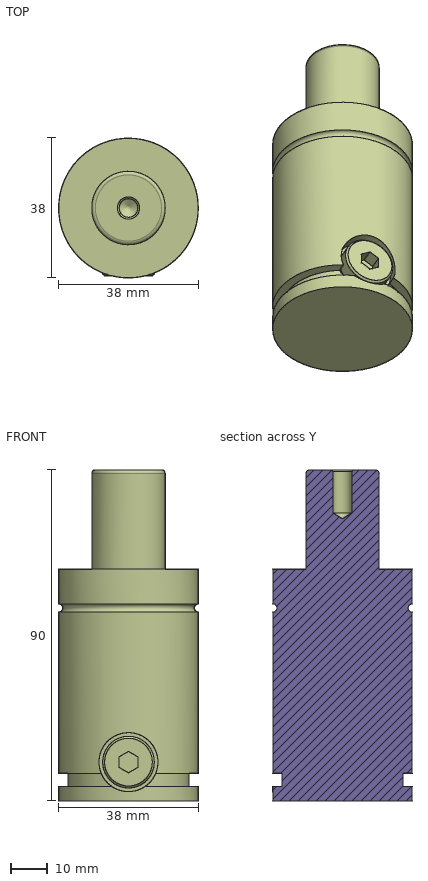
import cadquery as cq
import math

total_height = 90.0
body_diameter = 38.0
body_radius = body_diameter / 2
body_top = 63.0

rod_diameter = 20.0
rod_edge_radius = 1.0

rod_hole_diameter = 5.0
rod_hole_mouth_diameter = 6.0
rod_hole_depth = 11.7
drill_point_angle = 118.0

ring_groove_center_z = 52.5
ring_groove_radius = 1.1

foot_height = 4.05
clamp_groove_top = 7.6
clamp_groove_diameter = 32.9

plug_center_z = 10.6
pocket_diameter = 16.0
pocket_floor_y = -14.0
plug_diameter = 14.0
plug_face_y = -18.45
plug_chamfer = 0.5
hex_across_flats = 5.0
hex_depth = 4.0


def cylinder_z(diameter, bottom, top):
    """Solid cylinder on the Z axis between two heights."""
    return cq.Workplane("XY").workplane(offset=bottom).circle(diameter / 2).extrude(top - bottom)


def side_plane(y):
    """Workplane facing -Y, centred on the plug axis."""
    return cq.Workplane("XZ", origin=(0, y, plug_center_z))


def make_body():
    body = cylinder_z(body_diameter, 0, body_top)
    clamp_ring = cylinder_z(body_diameter, foot_height, clamp_groove_top).cut(
        cylinder_z(clamp_groove_diameter, foot_height, clamp_groove_top)
    )
    ring_groove = cq.Workplane("XY").add(
        cq.Solid.makeTorus(
            body_radius,
            ring_groove_radius,
            cq.Vector(0, 0, ring_groove_center_z),
            cq.Vector(0, 0, 1),
        )
    )
    return body.cut(clamp_ring).cut(ring_groove)


def make_rod():
    rod = cylinder_z(rod_diameter, body_top, total_height)
    return rod.faces(">Z").edges().fillet(rod_edge_radius)


def make_rod_hole():
    """Drilled hole with a 45 degree mouth chamfer and a conical bottom."""
    radius = rod_hole_diameter / 2
    mouth_radius = rod_hole_mouth_diameter / 2
    hole_bottom = total_height - rod_hole_depth
    point_depth = radius / math.tan(math.radians(drill_point_angle / 2))
    profile = [
        (0, total_height),
        (mouth_radius, total_height),
        (radius, total_height - (mouth_radius - radius)),
        (radius, hole_bottom),
        (0, hole_bottom - point_depth),
    ]
    return cq.Workplane("XZ").polyline(profile).close().revolve(360, (0, 0, 0), (0, 1, 0))


def make_pocket():
    return side_plane(pocket_floor_y).circle(pocket_diameter / 2).extrude(body_radius + pocket_floor_y)


def make_plug():
    """Chamfered plug with a hexagon socket that has corners at top and bottom."""
    plug = side_plane(pocket_floor_y).circle(plug_diameter / 2).extrude(pocket_floor_y - plug_face_y)
    plug = plug.faces("<Y").edges().chamfer(plug_chamfer)
    corner_diameter = hex_across_flats / math.cos(math.radians(30))
    socket = (
        side_plane(plug_face_y)
        .transformed(rotate=(0, 0, 90))
        .polygon(6, corner_diameter)
        .extrude(-hex_depth)
    )
    return plug.cut(socket)


result = make_body().union(make_rod()).cut(make_rod_hole()).cut(make_pocket()).union(make_plug())